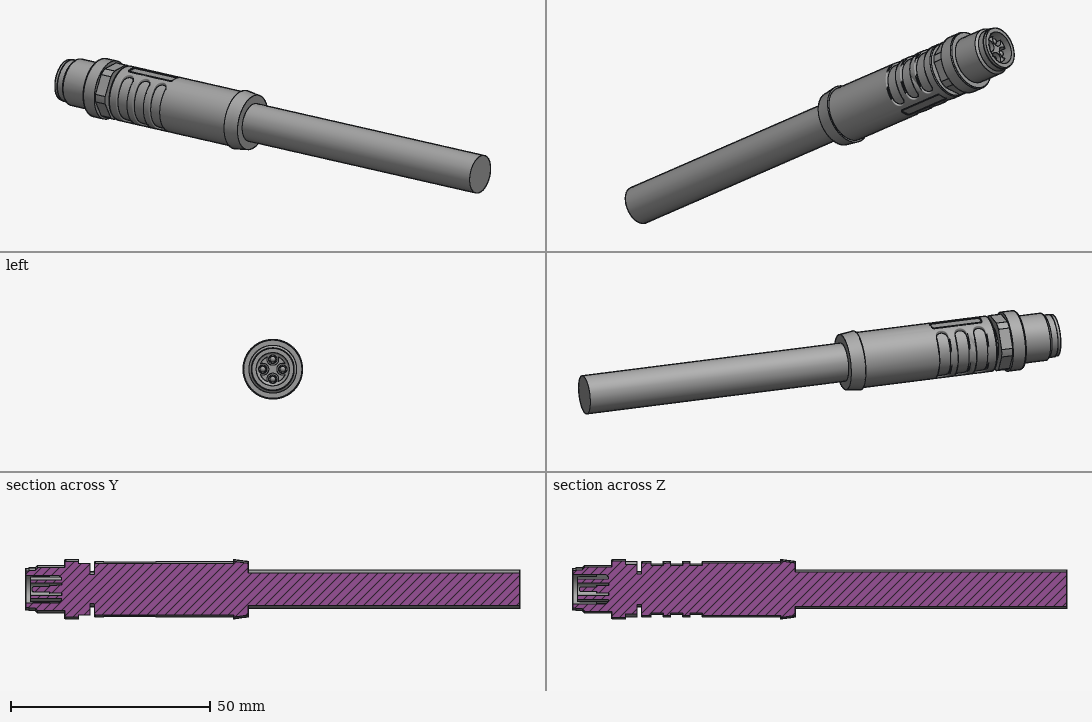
import cadquery as cq
import math

cable_end = 124.09
tip_band_end = 0.8
sleeve_start = 2.4
nut_start = 9.8
nut_end = 13.3
hex_end = 16.2
grip_start = 17.25
collar_start = 52.2
collar_end = 55.9

tip_diameter = 10.5
sleeve_nose_diameter = 10.8
sleeve_diameter = 12.0
nut_diameter = 15.0
neck_diameter = 8.9
grip_diameter = 14.0
collar_diameter = 15.0
cable_diameter = 9.7

sleeve_chamfer = (sleeve_diameter - sleeve_nose_diameter) / 2
edge_chamfer_length = 0.3
edge_chamfer_depth = 0.2
hex_across_flats = 13.0
neck_fillet = 0.2

bore_diameter = 8.35
bore_depth = 9.0
bore_floor_fillet = 0.9
pin_count = 4
pin_circle_radius = 2.5
pin_diameter = 1.5
pin_front = 1.5
pin_tip_fillet = 0.7
pin_sleeve_diameter = 2.12
pin_sleeve_front = 6.0
core_diameter = 6.8
well_diameter = 3.0
core_front = 1.2

groove_count = 3
groove_width = 3.0
groove_edge_fillet = 0.2
groove_pitch = 4.9
groove_depth = 0.6
first_groove_x = 21.2
groove_inner_y = 2.8
label_width = 3.0
label_corner_radius = 0.5
label_floor_height = 6.6


def rod(diameter, start, end):
    return cq.Workplane("YZ", origin=(start, 0, 0)).circle(diameter / 2).extrude(end - start)


def turned_body():
    """Connector and cable silhouette revolved about the X axis."""
    sleeve_radius = sleeve_diameter / 2
    nut_radius = nut_diameter / 2
    neck_radius = neck_diameter / 2
    grip_radius = grip_diameter / 2
    bulge = 1 - math.sqrt(0.5)
    profile = (
        cq.Workplane("XY")
        .lineTo(0, tip_diameter / 2)
        .lineTo(tip_band_end, tip_diameter / 2)
        .lineTo(tip_band_end, sleeve_nose_diameter / 2)
        .lineTo(sleeve_start, sleeve_nose_diameter / 2)
        .lineTo(sleeve_start + sleeve_chamfer, sleeve_radius)
        .lineTo(nut_start, sleeve_radius)
        .lineTo(nut_start, nut_radius - edge_chamfer_depth)
        .lineTo(nut_start + edge_chamfer_length, nut_radius)
        .lineTo(nut_end, nut_radius)
        .lineTo(nut_end, neck_radius)
        .lineTo(grip_start - neck_fillet, neck_radius)
        .threePointArc(
            (grip_start - bulge * neck_fillet, neck_radius + bulge * neck_fillet),
            (grip_start, neck_radius + neck_fillet),
        )
        .lineTo(grip_start, grip_radius - edge_chamfer_depth)
        .lineTo(grip_start + edge_chamfer_length, grip_radius)
        .lineTo(collar_start, grip_radius)
        .lineTo(collar_start, collar_diameter / 2)
        .lineTo(collar_end, grip_radius)
        .lineTo(collar_end, cable_diameter / 2)
        .lineTo(cable_end, cable_diameter / 2)
        .lineTo(cable_end, 0)
        .close()
    )
    return profile.revolve(360, (0, 0, 0), (1, 0, 0))


def wrench_hex():
    """Hexagon with rounded corners, one flat facing +Z."""
    corner_diameter = hex_across_flats / math.cos(math.pi / 6)
    hexagon = (
        cq.Workplane("YZ", origin=(nut_end, 0, 0))
        .polygon(6, corner_diameter)
        .extrude(hex_end - nut_end)
    )
    return hexagon.intersect(rod(grip_diameter, nut_end, hex_end))


def socket():
    """Blind bore with a rounded floor edge."""
    return rod(bore_diameter, 0, bore_depth).faces(">X").edges().fillet(bore_floor_fillet)


def around_pin_circle(shape):
    """Copies of an on-axis shape, one at each pin position."""
    copies = cq.Workplane("XY")
    for index in range(pin_count):
        angle = index * 2 * math.pi / pin_count
        offset = (0, pin_circle_radius * math.cos(angle), pin_circle_radius * math.sin(angle))
        copies = copies.union(shape.translate(offset))
    return copies


def contact_pin():
    """Round-tipped pin standing in a wider collar."""
    pin = rod(pin_diameter, pin_front, bore_depth).faces("<X").edges().fillet(pin_tip_fillet)
    return pin.union(rod(pin_sleeve_diameter, pin_sleeve_front, bore_depth))


def insulating_cross():
    """Round core scalloped by a well around each pin, leaving four diagonal arms."""
    core = rod(core_diameter, core_front, bore_depth)
    return core.cut(around_pin_circle(rod(well_diameter, core_front, bore_depth)))


def finger_grooves():
    """Round-ended grooves around both flanks of the grip."""
    end_radius = groove_width / 2
    arc_center_y = groove_inner_y + end_radius
    outer_y = grip_diameter
    grooves = cq.Workplane("XY")
    for index in range(groove_count):
        x = first_groove_x + index * groove_pitch
        for side in (1, -1):
            outline = (
                cq.Workplane("XY")
                .moveTo(x - end_radius, side * outer_y)
                .lineTo(x - end_radius, side * arc_center_y)
                .threePointArc((x, side * groove_inner_y), (x + end_radius, side * arc_center_y))
                .lineTo(x + end_radius, side * outer_y)
                .close()
            )
            grooves = grooves.union(outline.extrude(grip_diameter, both=True))
    return grooves.cut(rod(grip_diameter - 2 * groove_depth, grip_start, collar_start))


def lies_on_grip_surface(edge):
    """True when sample points of the edge are all at the grip's outer radius."""
    tolerance = 0.01
    samples = [edge.positionAt(fraction) for fraction in (0.1, 0.4, 0.6)]
    return all(abs(math.hypot(p.y, p.z) - grip_diameter / 2) < tolerance for p in samples)


def soften_groove_rims(body):
    """Round the groove edges that lie on the outer surface of the grip."""
    last_groove_x = first_groove_x + (groove_count - 1) * groove_pitch
    groove_zone = cq.selectors.BoxSelector(
        (first_groove_x - groove_width, -grip_diameter, -grip_diameter),
        (last_groove_x + groove_width, grip_diameter, grip_diameter),
    )
    rims = [edge for edge in body.edges(groove_zone).vals() if lies_on_grip_surface(edge)]
    return body.newObject(rims).fillet(groove_edge_fillet)


def label_recesses():
    """Flat-bottomed rectangular recesses on the top and bottom of the grip."""
    length = (groove_count - 1) * groove_pitch + groove_width + 2 * groove_edge_fillet
    center_x = first_groove_x + (groove_count - 1) * groove_pitch / 2
    block = (
        cq.Workplane("XY", origin=(center_x, 0, label_floor_height))
        .rect(length, label_width)
        .extrude(grip_diameter / 2)
        .edges("|Z")
        .fillet(label_corner_radius)
    )
    return block.union(block.mirror("XY"))


result = turned_body().union(wrench_hex())
result = result.cut(socket())
result = result.union(around_pin_circle(contact_pin())).union(insulating_cross())
result = result.cut(finger_grooves())
result = soften_groove_rims(result)
result = result.cut(label_recesses())